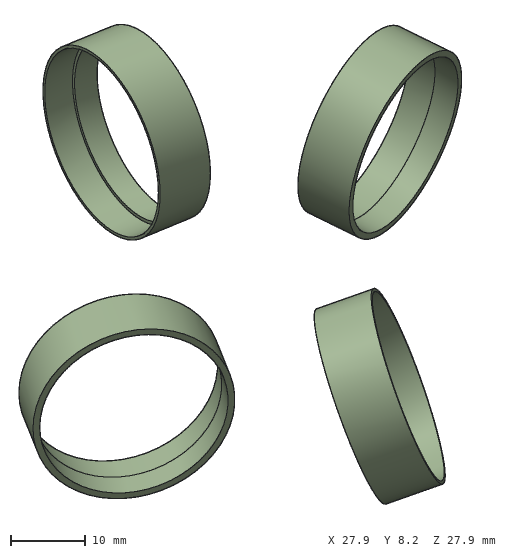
import cadquery as cq

outer_diameter = 27.9
width = 8.2
wide_bore_diameter = 27.0
narrow_bore_diameter = 26.0
lip_width = 3.68

ring = (
    cq.Workplane("XZ", origin=(0, width / 2, 0))
    .circle(outer_diameter / 2)
    .circle(narrow_bore_diameter / 2)
    .extrude(width)
)

wide_bore = (
    cq.Workplane("XZ", origin=(0, width / 2 - lip_width, 0))
    .circle(wide_bore_diameter / 2)
    .extrude(width - lip_width)
)

result = ring.cut(wide_bore)